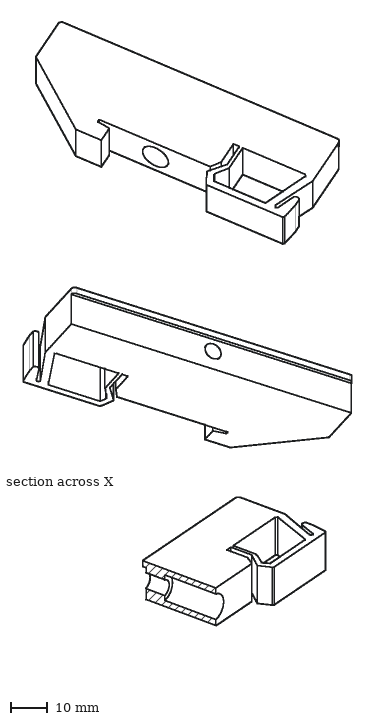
import cadquery as cq

length = 87.0
depth = 31.0
height = 12.0

lip_overhang = 1.05
lip_height = 2.0
lip_radius = 1.05
rear_y = depth - lip_overhang

seat_y = 6.0
left_wall_front_y = 17.0
hook_start_x = 21.5
hook_end_x = 29.4
hook_tip_y = 4.6
hook_root_x = 25.5
hook_root_y = 5.2

gap_left_x = 61.9
gap_right_x = 63.7
gap_bend_y = 8.9
gap_end_y = 15.9
nose_x = 59.9
nose_y = 4.2
foot_left_x = 61.9
foot_chamfer = 0.35
foot_right_x = 86.0
finger_right_x = 86.7
right_wall_front_y = 14.9
arm_thickness = 1.05
floor_y = 2.1
window_left_x = gap_right_x + arm_thickness
window_right_x = 84.5
window_chamfer = 0.4
window_bend_y = 8.0
window_nose_x = 62.2
window_nose_top_y = 4.4
window_nose_bottom_y = 3.8
window_floor_left_x = 63.1
window_floor_right_x = 79.2

finger_shoulder = (finger_right_x, 5.2)
finger_tip_start = (finger_right_x, 7.5)
finger_tip_top = (85.9, 8.0)
finger_tip_end = (84.8, 7.1)
slot_floor_start = (83.0, 2.4)
slot_floor_bottom = (82.4, floor_y)
slot_floor_end = (82.0, 3.0)

hole_x = 43.0
hole_diameter = 5.0
counterbore_diameter = 8.0
counterbore_depth = 17.4


def make_body():
    """Constant-section body with the hook, spring foot and release finger."""
    return (
        cq.Workplane("XY")
        .moveTo(0, rear_y)
        .lineTo(0, left_wall_front_y)
        .lineTo(hook_start_x, 0)
        .lineTo(hook_end_x, 0)
        .lineTo(hook_end_x, hook_tip_y)
        .lineTo(hook_root_x, hook_root_y)
        .lineTo(hook_root_x, seat_y)
        .lineTo(nose_x, seat_y)
        .lineTo(gap_left_x, gap_bend_y)
        .lineTo(gap_left_x, gap_end_y)
        .lineTo(gap_right_x, gap_end_y)
        .lineTo(gap_right_x, gap_bend_y)
        .lineTo(nose_x, nose_y)
        .lineTo(foot_left_x - foot_chamfer / 2, foot_chamfer)
        .lineTo(foot_left_x + foot_chamfer / 2, 0)
        .lineTo(foot_right_x - foot_chamfer, 0)
        .lineTo(foot_right_x, foot_chamfer)
        .lineTo(*finger_shoulder)
        .lineTo(*finger_tip_start)
        .threePointArc(finger_tip_top, finger_tip_end)
        .lineTo(*slot_floor_start)
        .threePointArc(slot_floor_bottom, slot_floor_end)
        .lineTo(length, right_wall_front_y)
        .lineTo(length, rear_y)
        .close()
        .extrude(height)
    )


def make_lip():
    """Rear lip, flush with the top face and rounded at both rear corners."""
    lip_root_y = rear_y - lip_radius
    return (
        cq.Workplane("XY", origin=(0, 0, height - lip_height))
        .moveTo(0, lip_root_y)
        .lineTo(length, lip_root_y)
        .lineTo(length, depth)
        .lineTo(0, depth)
        .close()
        .extrude(lip_height)
        .edges("|Z and >Y")
        .fillet(lip_radius)
    )


def make_window():
    """Through opening enclosed by the walls of the spring foot."""
    corners = [
        (window_left_x, gap_end_y),
        (window_left_x, window_bend_y),
        (window_nose_x, window_nose_top_y),
        (window_nose_x, window_nose_bottom_y),
        (window_floor_left_x, floor_y),
        (window_floor_right_x, floor_y),
        (window_right_x, gap_end_y - window_chamfer),
        (window_right_x - window_chamfer, gap_end_y),
    ]
    return cq.Workplane("XY").polyline(corners).close().extrude(height)


def make_bore(diameter, start_y, bore_length):
    """Cylinder along +Y at mid height."""
    return (
        cq.Workplane("XZ", origin=(hole_x, start_y, height / 2))
        .circle(diameter / 2)
        .extrude(-bore_length)
    )


result = (
    make_body()
    .union(make_lip())
    .cut(make_window())
    .cut(make_bore(hole_diameter, seat_y, depth - seat_y))
    .cut(make_bore(counterbore_diameter, seat_y, counterbore_depth))
)